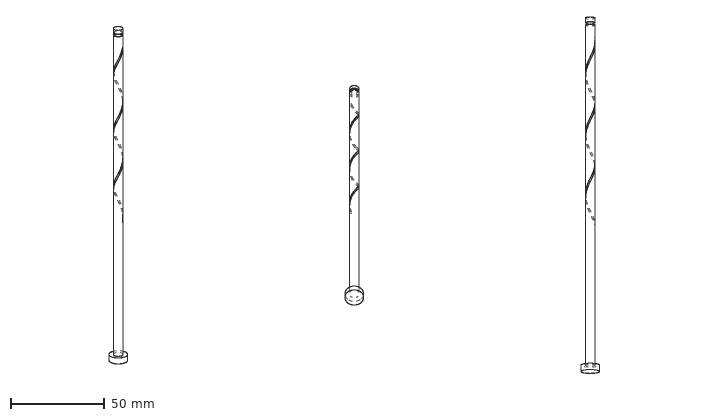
import cadquery as cq
import math

total_length = 193.5
head_diameter = 10.0
head_height = 3.5
shaft_diameter = 5.2

tip_height = 2.5
neck_height = 1.4
neck_diameter = 4.0

helix_pitch = 33.3
helix_turns = 3
helix_start_z = 81.8
helix_groove_width = 1.0
helix_groove_depth = 0.2

shaft_radius = shaft_diameter / 2


def cylinder(diameter, bottom_z, height):
    """Upright cylinder on the pin axis."""
    return cq.Workplane("XY").workplane(offset=bottom_z).circle(diameter / 2).extrude(height)


def retaining_groove():
    """Ring that leaves a narrow neck below the tip."""
    bottom_z = total_length - tip_height - neck_height
    ring = cylinder(head_diameter, bottom_z, neck_height)
    return ring.cut(cylinder(neck_diameter, bottom_z, neck_height))


def helical_groove():
    """Rectangular section swept along the shaft surface, half of it inside the shaft."""
    path = cq.Wire.makeHelix(helix_pitch, helix_pitch * helix_turns, shaft_radius)
    section = cq.Workplane("XZ").center(shaft_radius, 0).rect(2 * helix_groove_depth, helix_groove_height())
    cutter = section.sweep(cq.Workplane(obj=path), isFrenet=True)
    return cutter.translate((0, 0, helix_start_z))


def helix_groove_height():
    """Axial height of the groove, from its width around the shaft."""
    return helix_groove_width * helix_pitch / (math.pi * shaft_diameter)


head = cylinder(head_diameter, 0, head_height)
shaft = cylinder(shaft_diameter, 0, total_length)
result = head.union(shaft).cut(retaining_groove()).cut(helical_groove())